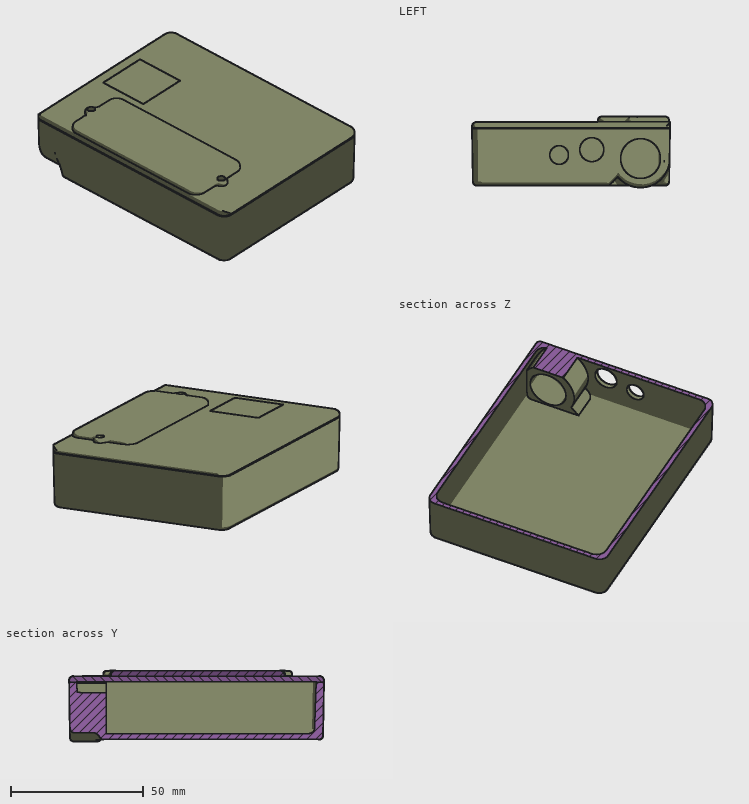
import cadquery as cq
import math


CASE_LENGTH = 96.0
CASE_WIDTH = 74.6
CASE_HEIGHT = 24.0
LID_THICKNESS = 2.3
BASE_HEIGHT = CASE_HEIGHT - LID_THICKNESS
DRAFT = 1.0
CORNER_RADIUS = 3.6
LID_EDGE_RADIUS = 1.9
LID_FRONT_RADIUS = 0.3
BASE_EDGE_RADIUS = 1.5

GROOVE_HEIGHT = 0.3
GROOVE_DEPTH = 0.2

WALL = 2.0
CAVITY_CORNER_RADIUS = 2 * WALL
CAVITY_FLOOR_RADIUS = WALL

BARREL_RADIUS = 10.9
BARREL_DROP = 0.8
BARREL_LENGTH = 12.1
BARREL_END_RADIUS = 1.5
BORE_DIAMETER = 15.0
BARREL_Z = BARREL_RADIUS - BARREL_DROP
DRAFT_ANGLE = math.radians(DRAFT)
BARREL_Y = BARREL_RADIUS / math.cos(DRAFT_ANGLE) + (BASE_HEIGHT - BARREL_Z) * math.tan(DRAFT_ANGLE)
BARREL_TANGENT_Z = BARREL_Z - BARREL_RADIUS * math.sin(DRAFT_ANGLE)

RELIEF_FOOT_Y = 23.0
RELIEF_END_RADIUS = 2.9
RELIEF_CORNER_RADIUS = 0.8
SLEEVE_LENGTH = BARREL_LENGTH + WALL

CONNECTOR_HOLES = [(41.8, 11.5, 7.0), (29.5, 13.5, 9.0)]

LABEL_SIDE = 20.5
LABEL_X = 5.2
LABEL_Y = 31.5
LABEL_DEPTH = 0.1

COVER_LENGTH = 65.8
COVER_WIDTH = 26.9
COVER_HEIGHT = 2.0
COVER_X = 15.6
COVER_Y = 0.4
COVER_CORNER_RADIUS = 4.3
COVER_EDGE_RADIUS = 1.5
EAR_OVERHANG = 0.3
EAR_RADIUS = 2.4
EAR_BLEND_RADIUS = 1.8
SCREW_HOLE_DIAMETER = 3.0

OVERSHOOT = 1.0
TOLERANCE = 0.1


def case_block(height, inset):
    """Block over the case outline, less an inset, that narrows upwards by the draft angle."""
    return (
        cq.Workplane("XY")
        .center(CASE_LENGTH / 2, CASE_WIDTH / 2)
        .rect(CASE_LENGTH - 2 * inset, CASE_WIDTH - 2 * inset)
        .extrude(height, taper=DRAFT)
    )


def rounded_outline(height, inset):
    """Case block with rounded upright corners, the one at -X, -Y tighter than the others."""
    block = case_block(height, inset)
    block = block.edges("not (|X or |Y)").edges(">X or >Y").fillet(CORNER_RADIUS)
    return block.edges("not (|X or |Y)").edges("<X and <Y").fillet(BASE_EDGE_RADIUS)


def block_below(top, height, inset):
    """Case block turned over to hang below the plane z = top."""
    return case_block(height, inset).mirror("XY").translate((0, 0, top))


def x_prism(points, start, length):
    """Prism along X over a (y, z) outline."""
    return cq.Workplane("YZ", origin=(start, 0, 0)).polyline(points).close().extrude(length)


def x_cylinder(y, z, diameter, start, length):
    return cq.Workplane("YZ", origin=(start, 0, 0)).center(y, z).circle(diameter / 2).extrude(length)


def flank_prism(foot_y, top_z, start, length):
    """Prism from beyond the -Y wall to a 45 degree flank that meets z = 0 at foot_y."""
    points = [
        (-OVERSHOOT, -OVERSHOOT),
        (foot_y + OVERSHOOT, -OVERSHOOT),
        (foot_y - top_z, top_z),
        (-OVERSHOOT, top_z),
    ]
    return x_prism(points, start, length)


def barrel():
    body = x_cylinder(BARREL_Y, BARREL_Z, 2 * BARREL_RADIUS, 0, BARREL_LENGTH)
    body = body.faces(">X").edges().fillet(BARREL_END_RADIUS)
    return body.intersect(block_below(BASE_HEIGHT, BASE_HEIGHT + 2 * BARREL_DROP, 0))


def flared_barrel():
    """Barrel that flares out at its inner end, leaving a rounded inner corner around it."""
    flare_start = BARREL_LENGTH - RELIEF_END_RADIUS
    flare_tip = BARREL_RADIUS + RELIEF_END_RADIUS
    diagonal = RELIEF_END_RADIUS * math.sqrt(0.5)
    return (
        cq.Workplane("XY")
        .moveTo(-OVERSHOOT, 0)
        .lineTo(-OVERSHOOT, BARREL_RADIUS)
        .lineTo(flare_start, BARREL_RADIUS)
        .threePointArc((flare_start + diagonal, flare_tip - diagonal), (BARREL_LENGTH, flare_tip))
        .lineTo(BARREL_LENGTH, 0)
        .close()
        .revolve(360, (0, 0, 0), (1, 0, 0))
        .translate((0, BARREL_Y, BARREL_Z))
    )


def barrel_relief():
    prism = flank_prism(RELIEF_FOOT_Y, BARREL_TANGENT_Z, -OVERSHOOT, BARREL_LENGTH + OVERSHOOT)
    relief = prism.cut(flared_barrel())
    corner_point = (0, RELIEF_FOOT_Y, BARREL_Z / 2)
    return relief.edges(cq.selectors.NearestToPointSelector(corner_point)).fillet(RELIEF_CORNER_RADIUS)


def sleeve():
    """Material left inside the cavity around the bore and behind the relief."""
    foot_y = RELIEF_FOOT_Y + WALL * math.sqrt(2)
    backing = flank_prism(foot_y, BARREL_Z, 0, SLEEVE_LENGTH)
    return backing.union(x_cylinder(BARREL_Y, BARREL_Z, 2 * BARREL_RADIUS, 0, SLEEVE_LENGTH))


def cavity():
    space = block_below(BASE_HEIGHT, BASE_HEIGHT - WALL, WALL)
    space = space.edges("not (|X or |Y)").fillet(CAVITY_CORNER_RADIUS)
    space = space.faces("<Z").edges().fillet(CAVITY_FLOOR_RADIUS)
    return space.cut(sleeve())


def rounded_rim(base):
    """Round the -X end below the lid, the underside, and the -Y rim of the relief's inner end."""
    flare_start = BARREL_LENGTH - RELIEF_END_RADIUS
    end_edges = base.faces("<X").edges().filter(
        lambda edge: edge.Center().z < BASE_HEIGHT - OVERSHOOT
        and edge.Center().y < CASE_WIDTH - 2 * CORNER_RADIUS
    )
    underside = base.faces(cq.selectors.NearestToPointSelector((CASE_LENGTH / 2, CASE_WIDTH / 2, 0)))
    underside_edges = underside.edges().filter(
        lambda edge: edge.Center().y > RELIEF_FOOT_Y - TOLERANCE
        or edge.Center().x > BARREL_LENGTH + TOLERANCE
        or (edge.Center().x > BARREL_LENGTH - TOLERANCE and edge.Center().y < BARREL_Y)
    )
    relief_edges = base.faces("<Y").edges().filter(
        lambda edge: flare_start < edge.Center().x < SLEEVE_LENGTH
    )
    rim = end_edges.vals() + underside_edges.vals() + relief_edges.vals()
    return base.newObject(list({edge.hashCode(): edge for edge in rim}.values())).fillet(BASE_EDGE_RADIUS)


def parting_groove():
    """Shallow groove around the outside of the base, just under the lid."""
    band = case_block(GROOVE_HEIGHT, -OVERSHOOT).cut(rounded_outline(GROOVE_HEIGHT, GROOVE_DEPTH))
    return band.translate((0, 0, BASE_HEIGHT - GROOVE_HEIGHT))


def make_base():
    base = block_below(BASE_HEIGHT, BASE_HEIGHT, 0)
    base = base.edges("not (|X or |Y)").edges(">X or >Y").fillet(CORNER_RADIUS)
    base = base.union(barrel()).cut(barrel_relief())
    base = rounded_rim(base).cut(cavity())
    base = base.cut(x_cylinder(BARREL_Y, BARREL_Z, BORE_DIAMETER, 0, SLEEVE_LENGTH))
    for y, z, diameter in CONNECTOR_HOLES:
        base = base.cut(x_cylinder(y, z, diameter, 0, 2 * WALL))
    return base.cut(parting_groove())


def make_lid():
    outline = rounded_outline(LID_THICKNESS, 0)
    outline = outline.faces(">Z").edges("<Y").fillet(LID_FRONT_RADIUS)
    lid = case_block(LID_THICKNESS, 0)
    lid = lid.edges("not (|X or |Y)").edges(">Y").fillet(CORNER_RADIUS)
    lid = lid.faces(">Z").edges("not <Y").fillet(LID_EDGE_RADIUS)
    lid = lid.intersect(outline).translate((0, 0, BASE_HEIGHT))
    label = (
        cq.Workplane("XY", origin=(LABEL_X, LABEL_Y, CASE_HEIGHT))
        .rect(LABEL_SIDE, LABEL_SIDE, centered=False)
        .extrude(-LABEL_DEPTH)
    )
    return lid.cut(label)


def make_cover():
    """Rounded plate with a screw ear blended into the middle of each short side."""
    half_length = COVER_LENGTH / 2
    ear_points = [(-half_length - EAR_OVERHANG, 0), (half_length + EAR_OVERHANG, 0)]
    center = (COVER_X + half_length, COVER_Y + COVER_WIDTH / 2, CASE_HEIGHT)
    plate = cq.Workplane("XY").rect(COVER_LENGTH, COVER_WIDTH).extrude(COVER_HEIGHT)
    plate = plate.edges("|Z").fillet(COVER_CORNER_RADIUS)
    ears = cq.Workplane("XY").pushPoints(ear_points).circle(EAR_RADIUS).extrude(COVER_HEIGHT)
    cover = plate.union(ears)
    blends = cover.edges("|Z").filter(lambda edge: abs(edge.Center().y) < EAR_RADIUS + TOLERANCE)
    cover = cover.newObject(blends.vals()).fillet(EAR_BLEND_RADIUS)
    cover = cover.faces(">Z").edges().fillet(COVER_EDGE_RADIUS)
    holes = cq.Workplane("XY").pushPoints(ear_points).circle(SCREW_HOLE_DIAMETER / 2).extrude(COVER_HEIGHT)
    return cover.cut(holes).translate(center)


base = make_base()
lid = make_lid()
cover = make_cover()
result = cq.Compound.makeCompound([base.val(), lid.val(), cover.val()])